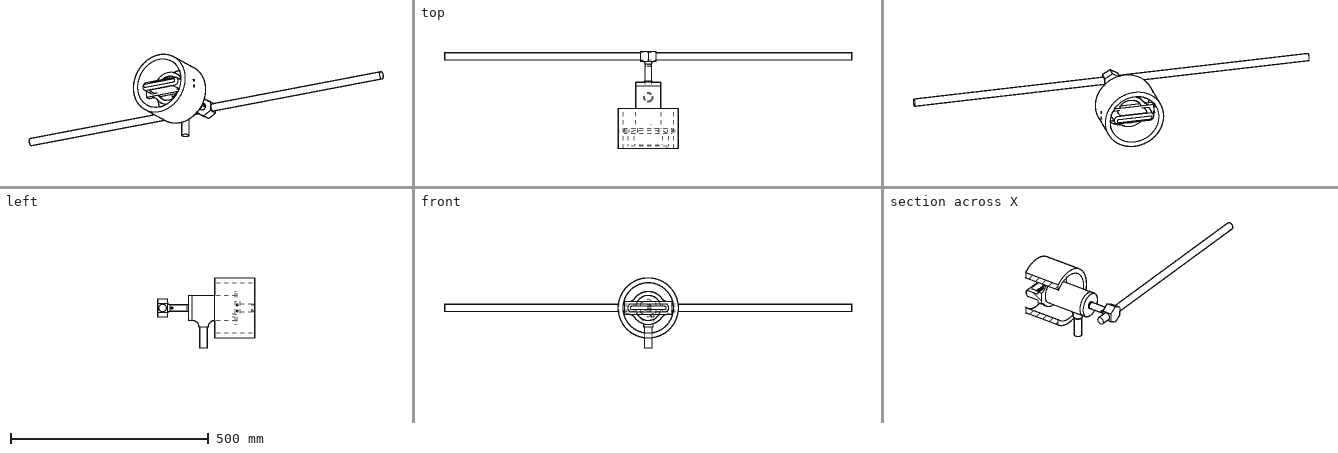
import cadquery as cq
import math

total_length = 245.6
total_height = 177.8

ring_outer_dia = 152.4
ring_wall = 12.7
ring_length = 101.6
ring_inner_dia = ring_outer_dia - 2 * ring_wall
screw_dia = 4.52
screw_pitch = 15.5
screw_depth_in_bar = 12.0

bar_length = 120.7
bar_height = 33.0
bar_thickness = 12.7
bar_front = ring_length / 2 - bar_thickness
bar_back = bar_front + bar_thickness
hub_dia = 83.82
hub_fillet = 7.5
hub_corner_fillet = 16.0
hub_front = bar_front + hub_fillet
grip_length = 102.0
grip_height = 20.8
grip_corner_radius = 9.0
grip_chamfer = 6.1
grip_bar_depth = 8.5
grip_window_length = 72.0
grip_window_radius = 7.0

barrel_dia = 63.75
barrel_front = bar_back
barrel_length_behind_ring = 66.5
cap_thickness = 9.5
cap_back = ring_length + barrel_length_behind_ring
barrel_back = cap_back - cap_thickness
port_dia = 8.0
port_x = 11.0
port_z = -19.5
port_depth = 10.0
boss_dia = 24.0
boss_end = 48.5
boss_root_fillet = 15.5
pipe_dia = 19.3
pipe_end = total_height - ring_outer_dia / 2
pipe_setback = 28.0
pipe_y = ring_length + pipe_setback

cap_dia = barrel_dia
cap_rim_dia = 62.52
cap_rim_chamfer_length = 2.5
collar_dia = 18.2
collar_length = 3.0

rod_dia = 19.05
rod_length = 1028.7
nut_across_flats = 39.7
nut_across_corners = nut_across_flats / math.cos(math.pi / 6)
nut_corner_turn = 30
nut_thickness = 25.4
nut_front = total_length - nut_thickness
neck_dia = 17.6
neck_fillet = 5.0
neck_length = 6.0
spindle_dia = 17.02
spindle_end = nut_front - neck_length
cross_hole_dia = 4.04
cross_hole_y = nut_front - 11.0


def cylinder_y(diameter, start, end):
    """Cylinder on the main axis from Y = start to Y = end."""
    profile = cq.Workplane("XZ", origin=(0, start, 0)).circle(diameter / 2)
    return profile.extrude(start - end)


def box_y(length, height, start, end):
    """Box centred on the main axis from Y = start to Y = end."""
    profile = cq.Workplane("XZ", origin=(0, start, 0)).rect(length, height)
    return profile.extrude(start - end)


def screw_holes(half_length, depth):
    """Pairs of holes that run inward along X from X = +half_length and X = -half_length."""
    hole_y = (bar_front + bar_back) / 2
    holes = cq.Workplane()
    for side in (-1, 1):
        face = cq.Workplane("YZ", origin=(side * half_length, hole_y, 0))
        pair = face.rarray(1, screw_pitch, 1, 2).circle(screw_dia / 2)
        holes = holes.add(pair.extrude(-side * depth))
    return holes.combine()


def make_ring():
    ring = cylinder_y(ring_outer_dia, 0, ring_length)
    ring = ring.cut(cylinder_y(ring_inner_dia, 0, ring_length))
    return ring.cut(screw_holes(ring_outer_dia / 2, 2 * ring_wall))


def make_grip():
    """Handle block with rounded ends, a chamfered front and a window for the fingers."""
    grip = box_y(grip_length, grip_height, 0, bar_front)
    grip = grip.edges("|Y").fillet(grip_corner_radius)
    grip = grip.faces("<Y").chamfer(grip_chamfer)
    window = box_y(grip_window_length, grip_height, grip_bar_depth, bar_front)
    return grip.cut(window.edges("|Z").fillet(grip_window_radius))


def hub_outline(start, end):
    """Round hub flange that runs into the bar through filleted corners."""
    outline = cylinder_y(hub_dia, start, end).union(box_y(bar_length, bar_height, start, end))
    half_width = hub_dia / 2
    corners = cq.selectors.BoxSelector((-half_width, start, -half_width), (half_width, end, half_width))
    return outline.edges("|Y").edges(corners).fillet(hub_corner_fillet)


def hub_root_fillets():
    """Concave fillets between the front of the hub flange and the long sides of the bar."""
    fillet_front = hub_front - hub_fillet
    fillet_height = bar_height + 2 * hub_fillet
    fillets = box_y(bar_length, fillet_height, fillet_front, hub_front)
    for side in (-1, 1):
        groove = cq.Workplane("YZ").center(fillet_front, side * fillet_height / 2).circle(hub_fillet)
        fillets = fillets.cut(groove.extrude(bar_length, both=True))
    return fillets.intersect(hub_outline(fillet_front, hub_front))


def make_bracket():
    hub = hub_outline(hub_front, bar_back).union(hub_root_fillets())
    hub = hub.cut(cylinder_y(barrel_dia, bar_front, bar_back))
    bar = box_y(bar_length, bar_height, bar_front, bar_back)
    bracket = hub.union(bar).union(make_grip())
    return bracket.cut(screw_holes(bar_length / 2, screw_depth_in_bar))


def make_barrel():
    barrel = cylinder_y(barrel_dia, barrel_front, barrel_back)
    boss = cq.Workplane("XY", origin=(0, pipe_y, 0)).circle(boss_dia / 2).extrude(-boss_end)
    barrel = barrel.union(boss)
    root = cq.selectors.BoxSelector(
        (-boss_dia, pipe_y - boss_dia, -barrel_dia / 2), (boss_dia, pipe_y + boss_dia, 0)
    )
    barrel = barrel.edges(root).edges("not(#Z or |Z or |Y)").fillet(boss_root_fillet)
    port = cq.Workplane("XZ", origin=(port_x, barrel_front, port_z)).circle(port_dia / 2)
    return barrel.cut(port.extrude(-port_depth))


def make_pipe():
    pipe = cq.Workplane("XY", origin=(0, pipe_y, -boss_end)).circle(pipe_dia / 2)
    return pipe.extrude(boss_end - pipe_end)


def make_cap():
    cap = cylinder_y(cap_dia, barrel_back, cap_back)
    cap = cap.faces(">Y").chamfer(cap_rim_chamfer_length, (cap_dia - cap_rim_dia) / 2)
    cap = cap.union(cylinder_y(collar_dia, cap_back, cap_back + collar_length))
    return cap.cut(cylinder_y(spindle_dia, barrel_back, cap_back + collar_length))


def make_spindle():
    spindle = cylinder_y(spindle_dia, barrel_back, spindle_end)
    hole = cq.Workplane("YZ", origin=(0, cross_hole_y, 0)).circle(cross_hole_dia / 2)
    return spindle.cut(hole.extrude(spindle_dia, both=True))


def make_rod():
    rod_y = nut_front + nut_thickness / 2
    profile = cq.Workplane("YZ", origin=(0, rod_y, 0)).circle(rod_dia / 2)
    return profile.extrude(rod_length / 2, both=True)


def make_nut():
    nut = cq.Workplane("XZ", origin=(0, nut_front, 0)).polygon(6, nut_across_corners)
    nut = nut.extrude(-nut_thickness).rotate((0, 0, 0), (0, 1, 0), nut_corner_turn)
    neck = cylinder_y(neck_dia, spindle_end, nut_front)
    nut = nut.union(neck)
    neck_root = cq.selectors.NearestToPointSelector((0, nut_front, 0))
    nut = nut.edges(neck_root).fillet(neck_fillet)
    return nut.cut(make_rod())


ring = make_ring()
bracket = make_bracket()
barrel = make_barrel()
inlet_pipe = make_pipe()
end_cap = make_cap()
spindle = make_spindle()
nut = make_nut()
rod = make_rod()

result = cq.Compound.makeCompound(
    [
        ring.val(),
        bracket.val(),
        barrel.val(),
        inlet_pipe.val(),
        end_cap.val(),
        spindle.val(),
        nut.val(),
        rod.val(),
    ]
)